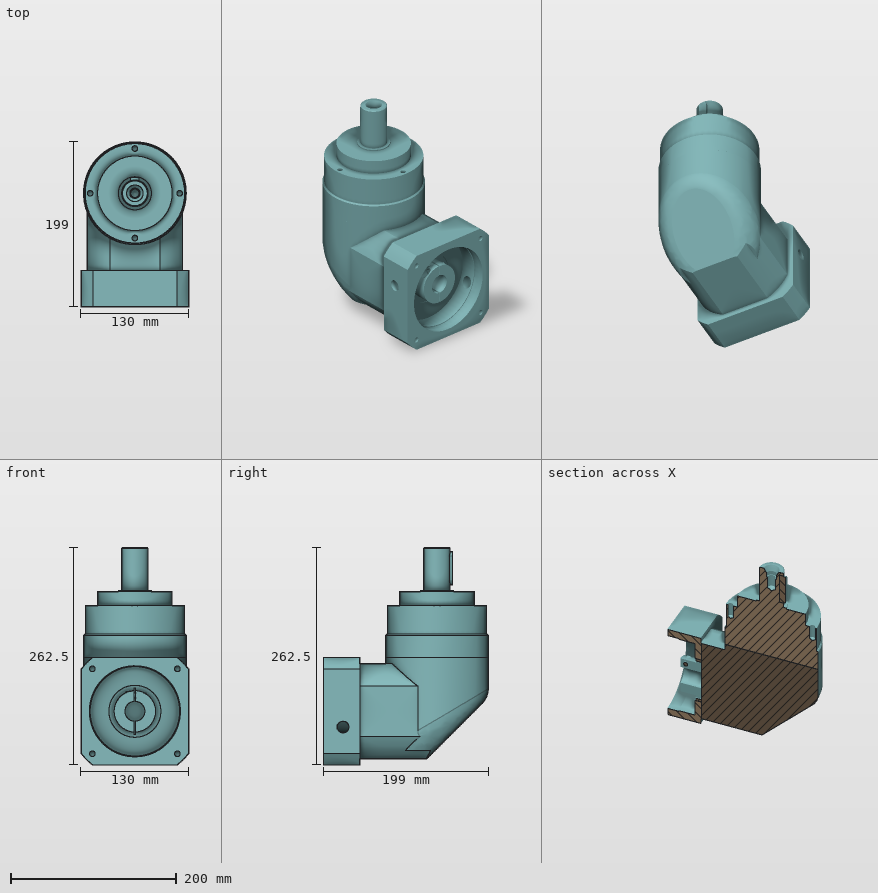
import cadquery as cq
import math


shaft_radius = 16.0
shoulder_radius = 20.0
pilot_radius = 45.0
stage_radius = 60.0
body_radius = 62.0
joint_z = 65.0
stage_bottom_z = 93.0
pilot_bottom_z = 127.5
pilot_top_z = 144.5
shoulder_top_z = 146.0
shaft_top_z = 197.5
shaft_chamfer = 1.0
rim_chamfer = 1.5

centre_mouth_radius = 10.0
centre_neck_radius = 6.2
centre_cone_half_angle = math.radians(30)
centre_neck_depth = 12.0
centre_core_radius = 5.1
centre_core_depth = 28.0

key_width = 10.0
key_height = 8.0
key_length = 40.0
key_top_y = 19.0
key_bottom_z = 152.5

tap_radius = 3.4
tap_depth = 18.0
drill_point_half_angle = math.radians(59)
stage_hole_circle_radius = 54.0
plate_hole_circle_radius = 72.5

barrel_width = 115.0
barrel_corner_radius = 65.0
back_cut_offset = 45.0
back_fillet = 25.0
upright_bottom_z = -47.0
barrel_root_y = -20.0
round_front_y = -57.0
reach = 150.0

plate_back_y = -93.0
plate_front_y = -137.0
plate_width = 130.0
plate_corner_radius = 82.5
motor_pilot_radius = 55.0
motor_pilot_depth = 14.5
plate_bore_radius = 54.0
plate_floor_y = -101.5
access_radius = 7.0

hub_radius = 25.0
hub_front_y = -120.5
collar_radius = 31.4
collar_front_y = -100.0
hub_bore_radius = 12.0
slit_width = 1.8
slit_reach = 28.0

screw_y = -113.3
screw_z = 19.0
screw_head_radius = 5.0
screw_head_end_x = -10.7
screw_head_length = 6.0
screw_shank_radius = 3.0
screw_shank_length = 18.0
socket_across_flats = 5.0
socket_depth = 3.0
head_pocket_radius = 5.5
head_seat_x = screw_head_end_x + screw_head_length


def cylinder_along_y(radius, front_y, back_y):
    """Cylinder about the input axis between two Y positions."""
    plane = cq.Workplane("XZ", origin=(0, front_y, 0))
    return plane.circle(radius).extrude(front_y - back_y)


def cylinder_along_x(radius, start_x, end_x, y, z):
    """Cylinder parallel to X between two X positions."""
    return cq.Workplane("YZ", origin=(start_x, y, z)).circle(radius).extrude(end_x - start_x)


def drilled_hole():
    """Tapped-hole cutter about Z, mouth at Z = 0, with a conical drill point."""
    point_depth = tap_radius / math.tan(drill_point_half_angle)
    return (
        cq.Workplane("XZ")
        .polyline([(0, 0), (tap_radius, 0), (tap_radius, -tap_depth), (0, -tap_depth - point_depth)])
        .close()
        .revolve(360, (0, 0, 0), (0, 1, 0))
    )


def key_blank():
    """Feather key with round ends, standing along the shaft."""
    return (
        cq.Workplane("XZ", origin=(0, key_top_y, key_bottom_z + key_length / 2))
        .slot2D(key_length, key_width, 90)
        .extrude(key_height)
    )


def shaft_centre():
    """Cutter for the countersunk, stepped centre hole in the shaft end."""
    cone_depth = (centre_mouth_radius - centre_neck_radius) / math.tan(centre_cone_half_angle)
    point_depth = centre_core_radius / math.tan(drill_point_half_angle)
    profile = [
        (0, 0),
        (centre_mouth_radius, 0),
        (centre_neck_radius, -cone_depth),
        (centre_neck_radius, -centre_neck_depth),
        (centre_core_radius, -centre_neck_depth),
        (centre_core_radius, -centre_core_depth),
        (0, -centre_core_depth - point_depth),
    ]
    cutter = cq.Workplane("XZ").polyline(profile).close().revolve(360, (0, 0, 0), (0, 1, 0))
    return cutter.translate((0, 0, shaft_top_z))


def make_gear_stage():
    """Gear stage with its output shaft, turned about Z."""
    profile = [
        (0, joint_z),
        (body_radius, joint_z),
        (body_radius, stage_bottom_z - rim_chamfer),
        (body_radius - rim_chamfer, stage_bottom_z),
        (stage_radius, stage_bottom_z),
        (stage_radius, pilot_bottom_z),
        (pilot_radius, pilot_bottom_z),
        (pilot_radius, pilot_top_z),
        (shoulder_radius, pilot_top_z),
        (shoulder_radius, shoulder_top_z),
        (shaft_radius, shoulder_top_z),
        (shaft_radius, shaft_top_z - shaft_chamfer),
        (shaft_radius - shaft_chamfer, shaft_top_z),
        (0, shaft_top_z),
    ]
    stage = cq.Workplane("XZ").polyline(profile).close().revolve(360, (0, 0, 0), (0, 1, 0))
    stage = stage.cut(shaft_centre()).cut(key_blank())
    for quarter in range(4):
        hole = drilled_hole().translate((stage_hole_circle_radius, 0, pilot_bottom_z))
        stage = stage.cut(hole.rotate((0, 0, 0), (0, 0, 1), 90 * quarter))
    return stage


def keep_box(low_y, high_y, low_z, high_z):
    """Wide block used to keep a Y and Z range of the elbow."""
    return (
        cq.Workplane("YZ", origin=(-reach, 0, 0))
        .moveTo(low_y, low_z)
        .lineTo(high_y, low_z)
        .lineTo(high_y, high_z)
        .lineTo(low_y, high_z)
        .close()
        .extrude(2 * reach)
    )


def make_rounded_back():
    """Back of the round upright, cut off at 45 degrees with the curved edge of the cut rounded."""
    cylinder = cq.Workplane("XY", origin=(0, 0, joint_z)).circle(body_radius).extrude(-joint_z - reach)
    cylinder = cylinder.intersect(keep_box(round_front_y, body_radius, -reach, joint_z))
    corner = [
        (joint_z + back_cut_offset, joint_z),
        (joint_z + back_cut_offset, -reach),
        (-reach + back_cut_offset, -reach),
    ]
    wedge = cq.Workplane("YZ", origin=(-reach, 0, 0)).polyline(corner).close().extrude(2 * reach)
    return cylinder.cut(wedge).faces("<(0, -1, 1)").edges("not |X").fillet(back_fillet)


def make_barrel():
    """Square barrel with arc corners along the input axis, reaching back to the upright's far side."""
    round_bar = cylinder_along_y(barrel_corner_radius, body_radius, plate_back_y)
    square_bar = (
        cq.Workplane("XZ", origin=(0, body_radius, 0))
        .rect(barrel_width, barrel_width)
        .extrude(body_radius - plate_back_y)
    )
    return round_bar.intersect(square_bar)


def make_elbow():
    """Elbow housing: a round upright with a cut-off back, and a barrel running out to the motor plate."""
    back = make_rounded_back()
    barrel = make_barrel()
    back_upper = back.intersect(keep_box(-reach, reach, upright_bottom_z, joint_z))
    back_lower = back.intersect(barrel)
    front = cq.Workplane("XY").circle(body_radius).extrude(joint_z)
    front = front.intersect(keep_box(-reach, round_front_y, 0, joint_z))
    arm = barrel.intersect(keep_box(plate_back_y, barrel_root_y, -reach, reach))
    return back_upper.union(back_lower).union(front).union(arm)


def make_plate():
    """Motor plate: square with arc corners, stepped bore, access holes and four tapped holes."""
    thickness = plate_back_y - plate_front_y
    plate = cq.Workplane("XZ", origin=(0, plate_back_y, 0)).rect(plate_width, plate_width).extrude(thickness)
    plate = plate.intersect(cylinder_along_y(plate_corner_radius, plate_back_y, plate_front_y))
    plate = plate.cut(cylinder_along_y(motor_pilot_radius, plate_front_y + motor_pilot_depth, plate_front_y))
    plate = plate.cut(cylinder_along_y(plate_bore_radius, plate_floor_y, plate_front_y))
    plate = plate.cut(cylinder_along_y(collar_radius, plate_back_y, plate_floor_y))
    for side in (-1, 1):
        access = cylinder_along_x(access_radius, 0, side * plate_width, screw_y, -side * screw_z)
        plate = plate.cut(access)
    for quarter in range(4):
        hole = drilled_hole().rotate((0, 0, 0), (1, 0, 0), 90)
        hole = hole.translate((plate_hole_circle_radius, plate_front_y, 0))
        plate = plate.cut(hole.rotate((0, 0, 0), (0, 1, 0), 45 + 90 * quarter))
    return plate


def make_hub():
    """Clamping hub with a collar, a bore, a slit across it and the seat of the clamping screw."""
    hub = cylinder_along_y(hub_radius, plate_back_y, hub_front_y)
    hub = hub.union(cylinder_along_y(collar_radius, plate_back_y, collar_front_y))
    hub = hub.cut(cylinder_along_y(hub_bore_radius, plate_back_y, hub_front_y))
    slit = (
        cq.Workplane("XZ", origin=(0, plate_back_y, 0))
        .rect(slit_width, 2 * slit_reach)
        .extrude(plate_back_y - hub_front_y)
    )
    pocket = cylinder_along_x(head_pocket_radius, head_seat_x, -hub_radius, screw_y, screw_z)
    shank_end_x = head_seat_x + screw_shank_length
    shank_hole = cylinder_along_x(screw_shank_radius, head_seat_x, shank_end_x, screw_y, screw_z)
    return hub.cut(slit).cut(pocket).cut(shank_hole)


def make_screw():
    """Socket-head clamping screw, its head towards -X."""
    shank_end_x = head_seat_x + screw_shank_length
    head = cylinder_along_x(screw_head_radius, screw_head_end_x, head_seat_x, screw_y, screw_z)
    shank = cylinder_along_x(screw_shank_radius, head_seat_x, shank_end_x, screw_y, screw_z)
    socket = (
        cq.Workplane("YZ", origin=(screw_head_end_x, screw_y, screw_z))
        .polygon(6, socket_across_flats / math.cos(math.pi / 6))
        .extrude(socket_depth)
    )
    return head.union(shank).cut(socket)


gear_stage = make_gear_stage()
shaft_key = key_blank()
elbow = make_elbow()
motor_plate = make_plate()
clamping_hub = make_hub()
clamping_screw = make_screw()

result = cq.Compound.makeCompound(
    [
        gear_stage.val(),
        shaft_key.val(),
        elbow.val(),
        motor_plate.val(),
        clamping_hub.val(),
        clamping_screw.val(),
    ]
)